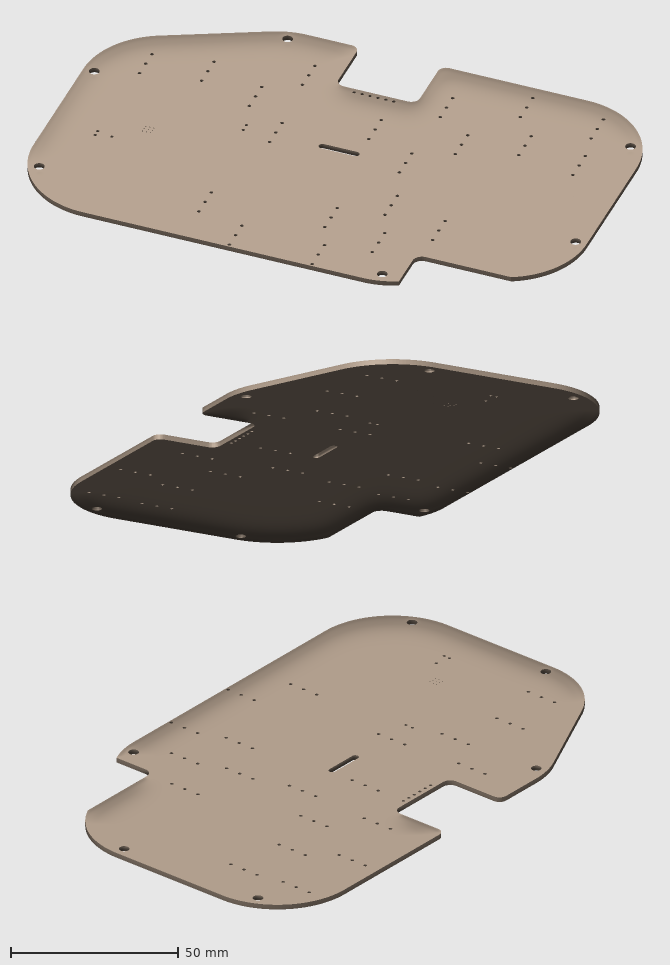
import cadquery as cq
import math

LENGTH = 172.0
WIDTH = 107.0
THICKNESS = 1.58
CENTER_X = LENGTH / 2

BEND_RADIUS = 26.0
BEND_CHORD = 1.02
CORNER_CHORD = 0.5
SIDE_BEND_Y = 66.89
TOP_BEND_X = 56.26

NOTCH_WIDTH = 26.1
NOTCH_DEPTH = 20.0
NOTCH_MOUTH_RADIUS = 2.6
NOTCH_FLOOR_RADIUS = 2.8

STEP_X = 126.57
STEP_Y = 16.57
STEP_RADIUS = 3.0

SLOT_CENTER = (CENTER_X, 56.9)
SLOT_LENGTH = 13.0
SLOT_WIDTH = 2.2

MOUNT_DIAMETER = 3.2
MOUNT_CENTERS = [
    (51.4, 102.95),
    (3.5, 66.85),
    (5.55, 16.6),
    (166.4, 90.4),
    (168.5, 40.15),
    (120.6, 4.0),
]

PIN_PITCH = 2.54

TRIPLE_COUNT = 3
TRIPLE_DIAMETER = 1.1
TRIPLE_PITCH = 2 * PIN_PITCH
TRIPLE_MIRRORED = [
    (69.55, 75.95),
    (50.9, 79.22),
    (33.05, 72.75),
    (22.12, 88.33),
    (20.83, 58.2),
    (27.84, 18.2),
    (13.26, 6.04),
]
TRIPLE_SINGLE = [
    (92.24, 70.41),
    (130.4, 97.13),
    (153.95, 94.9),
    (110.55, 36.9),
    (128.4, 30.42),
    (96.03, 24.68),
]

HEADER_DIAMETER = 1.0
LONG_HEADER_COUNT = 6
LONG_HEADER_CENTER = (CENTER_X, 85.4)
SHORT_HEADER_COUNT = 2
SHORT_HEADER_CENTER = (55.66, 57.11)

SENSOR_DIAMETER = 0.99
SENSOR_REAR_COUNT = 2
SENSOR_REAR_CENTER = (15.4, 38.33)
SENSOR_REAR_SPACING = 2.03
SENSOR_FRONT_OFFSET = 4.94

VIA_DIAMETER = 0.35
VIA_COUNT = 3
VIA_PITCH = 1.3
VIA_CENTER = (29.14, 45.6)


def turn_half(point):
    """The point carried half a turn about the middle of the board."""
    return (LENGTH - point[0], WIDTH - point[1])


def chord_points(center, radius, start, end, chord):
    """Points along an arc, ends included, about one chord apart. Angles in degrees from +X."""
    sweep = math.radians(end - start)
    count = round(abs(sweep) * radius / chord)
    angles = [math.radians(start) + sweep * i / count for i in range(count + 1)]
    return [(center[0] + radius * math.cos(a), center[1] + radius * math.sin(a)) for a in angles]


def make_blank():
    """Plate bounded by six tangent bends, made of short flats, joined by straight edges."""
    side_bend = (BEND_RADIUS, SIDE_BEND_Y)
    top_bend = (TOP_BEND_X, WIDTH - BEND_RADIUS)
    upper_right_bend = (LENGTH - BEND_RADIUS, WIDTH - BEND_RADIUS)
    rise = top_bend[1] - side_bend[1]
    run = top_bend[0] - side_bend[0]
    slope_normal = 90 + math.degrees(math.atan2(rise, run))

    half = []
    for center, start, end in [
        (side_bend, 180, slope_normal),
        (top_bend, slope_normal, 90),
        (upper_right_bend, 90, 0),
    ]:
        half += chord_points(center, BEND_RADIUS, start, end, BEND_CHORD)
    other_half = [turn_half(point) for point in half]
    return extrude_outline(half + other_half)


def extrude_outline(points):
    """Full thickness prism on a closed outline of straight edges."""
    return cq.Workplane("XY").polyline(points).close().extrude(THICKNESS)


def cut_notch(board):
    """Notch with rounded floor corners and a rounded mouth."""
    half_width = NOTCH_WIDTH / 2
    mouth_radius = NOTCH_MOUTH_RADIUS
    floor_radius = NOTCH_FLOOR_RADIUS
    floor = WIDTH - NOTCH_DEPTH
    mouth_center = (CENTER_X + half_width + mouth_radius, WIDTH - mouth_radius)
    floor_center = (CENTER_X + half_width - floor_radius, floor + floor_radius)
    right = chord_points(mouth_center, mouth_radius, 90, 180, CORNER_CHORD)
    right += chord_points(floor_center, floor_radius, 0, -90, CORNER_CHORD)
    left = [(LENGTH - x, y) for x, y in reversed(right)]
    return board.cut(extrude_outline(right + left))


def cut_step(board):
    """Step open to the right and bottom, with a rounded inner corner."""
    center = (STEP_X + STEP_RADIUS, STEP_Y - STEP_RADIUS)
    corner = chord_points(center, STEP_RADIUS, 180, 90, CORNER_CHORD)
    return board.cut(extrude_outline([(STEP_X, 0)] + corner + [(LENGTH, STEP_Y), (LENGTH, 0)]))


def cut_slot(board):
    slot = cq.Workplane("XY").center(*SLOT_CENTER).slot2D(SLOT_LENGTH, SLOT_WIDTH)
    return board.cut(slot.extrude(THICKNESS))


def drill(board, centers, diameter):
    """Round through holes."""
    holes = cq.Workplane("XY").pushPoints(centers).circle(diameter / 2).extrude(THICKNESS)
    return board.cut(holes)


def offsets(count, pitch):
    """Evenly spaced distances centred on zero."""
    return [(i - (count - 1) / 2) * pitch for i in range(count)]


def row_x(center, count, pitch):
    return [(center[0] + offset, center[1]) for offset in offsets(count, pitch)]


def row_y(center, count, pitch):
    return [(center[0], center[1] + offset) for offset in offsets(count, pitch)]


def triple_holes():
    mirrored = [(CENTER_X + side * x, y) for x, y in TRIPLE_MIRRORED for side in (-1, 1)]
    centers = mirrored + TRIPLE_SINGLE
    return [hole for center in centers for hole in row_y(center, TRIPLE_COUNT, TRIPLE_PITCH)]


def header_holes():
    long_header = row_x(LONG_HEADER_CENTER, LONG_HEADER_COUNT, PIN_PITCH)
    short_header = row_y(SHORT_HEADER_CENTER, SHORT_HEADER_COUNT, PIN_PITCH)
    return long_header + short_header


def sensor_holes():
    rear_x, middle_y = SENSOR_REAR_CENTER
    front = (rear_x + SENSOR_FRONT_OFFSET, middle_y)
    rear = row_y(SENSOR_REAR_CENTER, SENSOR_REAR_COUNT, SENSOR_REAR_SPACING)
    return rear + [front]


def via_holes():
    columns = row_x(VIA_CENTER, VIA_COUNT, VIA_PITCH)
    return [hole for column in columns for hole in row_y(column, VIA_COUNT, VIA_PITCH)]


board = make_blank()
board = cut_notch(board)
board = cut_step(board)
board = cut_slot(board)
board = drill(board, MOUNT_CENTERS, MOUNT_DIAMETER)
board = drill(board, triple_holes(), TRIPLE_DIAMETER)
board = drill(board, header_holes(), HEADER_DIAMETER)
board = drill(board, sensor_holes(), SENSOR_DIAMETER)
board = drill(board, via_holes(), VIA_DIAMETER)
result = board